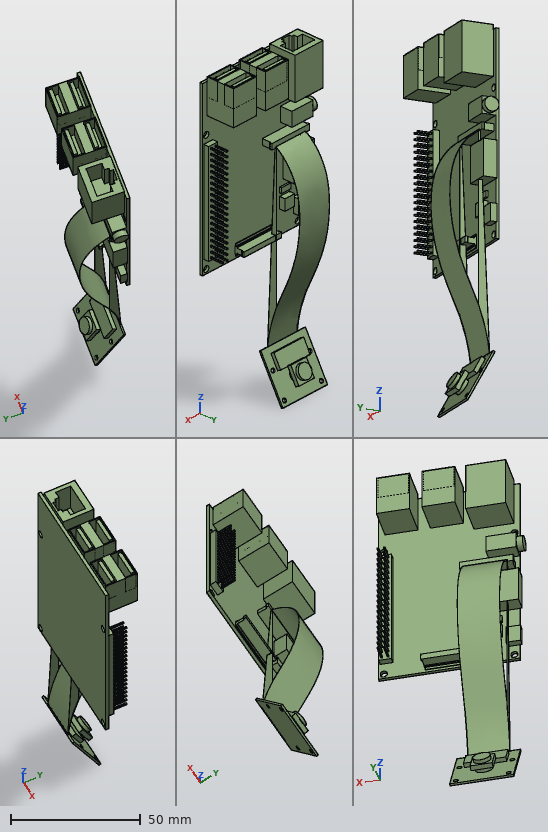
import cadquery as cq
import math


board_width = 56.0
board_length = 85.0
board_thickness = 1.4
hole_dia = 2.8
hole_inset = 2.2
hole_rise = 59.3

port_overhang = 2.0
port_top = board_length + port_overhang

ethernet_x = 2.3
ethernet_width = 15.9
ethernet_length = 21.0
ethernet_height = 13.4
socket_depth = 13.9
socket_width = 12.3
socket_top = 12.0
socket_floor = 5.5
latch_width = 6.6
latch_floor = 3.7
key_width = 4.3
key_floor = 2.3

usb_left_edges = (22.3, 40.3)
usb_width = 13.1
usb_length = 17.2
usb_height = 13.9
usb_port_depth = 9.2
usb_port_height = 4.6
usb_port_floors = (1.8, 10.2)
usb_side_wall = 0.5
usb_tongue_width = 10.8
usb_tongue_height = 1.5
usb_tongue_floors = (4.3, 13.0)

side_overhang = 1.0
hdmi_z = 24.2
hdmi_length = 15.2
hdmi_depth = 11.5
hdmi_height = 5.9
micro_usb_z = 6.5
micro_usb_length = 7.4
micro_usb_depth = 5.7
micro_usb_height = 2.8

jack_z = 53.3
jack_body_size = 7.1
jack_body_depth = 12.0
jack_body_height = 6.0
jack_dia = 6.0
jack_axis_y = 4.3
jack_overhang = 2.5

header_length = 50.8
pin_count = 20
pin_pitch = header_length / pin_count
pin_size = 0.6
pin_tip_y = 10.2
header_x = 52.8
header_z = 32.5
header_height = 2.6

ribbon_socket_width = 21.2
socket_lid_rim = 0.38
socket_lid_height = 1.2
camera_socket_z = 45.3
camera_socket_length = 3.0
camera_socket_height = 5.4
display_socket_x = 27.4
display_socket_z = 3.8
display_socket_length = 2.5
display_socket_height = 5.1
display_flange_rim = 0.54
display_flange_height = 1.0
display_pad_width = 20.0
display_pad_length = 5.5
display_pad_height = 0.3

chip_x = 7.0
chip_width = 5.5
large_chip_z = 11.5
large_chip_length = 5.5
large_chip_height = 2.8
small_chip_z = 18.6
small_chip_length = 2.6
small_chip_height = 1.0

ribbon_x = 12.0
ribbon_width = 16.8
ribbon_thickness = 0.2
web_front_y = 7.1
ribbon_path = [
    (6.5, 44.7),
    (12.8, 39.1),
    (16.6, 32.8),
    (19.4, 17.0),
    (17.2, -0.5),
    (12.8, -13.7),
    (7.4, -25.7),
    (3.7, -37.7),
    (2.5, -45.9),
]

camera_tilt = 29
overall_length = 154.0
camera_bottom_z = port_top - overall_length
camera_top_y = 2.0
camera_width = 25.3
camera_length = 24.0
camera_thickness = 1.0
camera_hole_dia = 1.8
camera_hole_span = 21.0
camera_hole_us = (9.1, 21.5)
plug_width = ribbon_width
plug_start = 2.8
plug_length = 7.2
plug_top = 2.8
lens_u = 14.2
lens_dia = 7.0
lens_body_size = 8.8
lens_base_top = 2.8
lens_body_top = 4.8
lens_top = 6.3


def box(x, y, z, width, height, length):
    """Block from its low corner: width along X, height along Y, length along Z."""
    return cq.Workplane("XY").box(width, height, length, centered=False).translate((x, y, z))


def mounted(x, z, width, length, height):
    """Block standing on the component face of the main board."""
    return box(x, board_thickness, z, width, height, length)


def mounted_centred(x, z, width, length, height):
    return mounted(x - width / 2, z - length / 2, width, length, height)


def main_board():
    board = box(0, 0, 0, board_width, board_thickness, board_length)
    for x in (hole_inset, board_width - hole_inset):
        for z in (hole_inset, hole_inset + hole_rise):
            drill = cq.Workplane("XZ", origin=(x, 0, z)).circle(hole_dia / 2).extrude(-board_thickness)
            board = board.cut(drill)
    return board


def ethernet_port():
    middle = ethernet_x + ethernet_width / 2
    floor_z = port_top - socket_depth
    body = mounted(ethernet_x, port_top - ethernet_length, ethernet_width, ethernet_length, ethernet_height)
    steps = ((socket_width, socket_floor), (latch_width, latch_floor), (key_width, key_floor))
    for width, floor_y in steps:
        body = body.cut(box(middle - width / 2, floor_y, floor_z, width, socket_top - floor_y, socket_depth))
    return body


def usb_stack(left):
    middle = left + usb_width / 2
    opening_width = usb_width - 2 * usb_side_wall
    floor_z = port_top - usb_port_depth
    stack = mounted(left, port_top - usb_length, usb_width, usb_length, usb_height)
    for y in usb_port_floors:
        opening = box(left + usb_side_wall, y, floor_z, opening_width, usb_port_height, usb_port_depth)
        stack = stack.cut(opening)
    for y in usb_tongue_floors:
        tongue_left = middle - usb_tongue_width / 2
        tongue = box(tongue_left, y, floor_z, usb_tongue_width, usb_tongue_height, usb_port_depth)
        stack = stack.union(tongue)
    return stack


def audio_jack():
    body = mounted(0, jack_z - jack_body_size / 2, jack_body_depth, jack_body_size, jack_body_height)
    barrel = cq.Workplane("YZ", origin=(-jack_overhang, jack_axis_y, jack_z)).circle(jack_dia / 2)
    return body.union(barrel.extrude(jack_overhang))


def pin_header():
    header = mounted_centred(header_x, header_z, 2 * pin_pitch, header_length, header_height)
    first_z = header_z - (pin_count - 1) / 2 * pin_pitch
    for side in (-1, 1):
        for index in range(pin_count):
            x = header_x + side * pin_pitch / 2
            z = first_z + index * pin_pitch
            height = pin_tip_y - board_thickness
            header = header.union(mounted_centred(x, z, pin_size, pin_size, height))
    return header


def ribbon_socket(x, z, length, height):
    """Narrow body with a slightly wider lid on top."""
    body = mounted_centred(x, z, ribbon_socket_width - 2 * socket_lid_rim, length, height)
    lid = mounted_centred(x, z, ribbon_socket_width, length, socket_lid_height)
    return body.union(lid.translate((0, height - socket_lid_height, 0)))


def display_socket():
    socket = ribbon_socket(display_socket_x, display_socket_z, display_socket_length, display_socket_height)
    flange_length = display_socket_length + 2 * display_flange_rim
    flange_width = ribbon_socket_width - 2 * socket_lid_rim
    flange = mounted_centred(
        display_socket_x, display_socket_z, flange_width, flange_length, display_flange_height)
    pad = mounted_centred(
        display_socket_x, display_socket_z, display_pad_width, display_pad_length, display_pad_height)
    return socket.union(flange).union(pad)


def ribbon():
    left = ribbon_x - ribbon_width / 2
    inner_path = [(y - ribbon_thickness, z) for y, z in ribbon_path]
    start_z = ribbon_path[0][1]
    end_z = ribbon_path[-1][1]

    def prism(outline):
        return outline.close().extrude(ribbon_width)

    side_plane = cq.Workplane("YZ", origin=(left, 0, 0))
    strip = prism(side_plane.spline(ribbon_path).lineTo(*inner_path[-1]).lineTo(*inner_path[0]))
    hollow = prism(side_plane.spline(inner_path).lineTo(0, end_z).lineTo(0, start_z))
    for x in (left, left + ribbon_width - ribbon_thickness):
        hollow = hollow.cut(box(x, 0, end_z, ribbon_thickness, web_front_y, start_z - end_z))
    return strip.cut(hollow)


def camera_module():
    def on_camera(u, v, width, height, length):
        return box(-width / 2, v, -u - length, width, height, length)

    def disc(u, v, diameter, height, x=0):
        return cq.Workplane("XZ", origin=(x, v, -u)).circle(diameter / 2).extrude(-height)

    module = on_camera(0, 0, camera_width, camera_thickness, camera_length)
    for x in (-camera_hole_span / 2, camera_hole_span / 2):
        for u in camera_hole_us:
            module = module.cut(disc(u, 0, camera_hole_dia, camera_thickness, x))
    plug = on_camera(plug_start, camera_thickness, plug_width, plug_top - camera_thickness, plug_length)
    lens_base = disc(lens_u, camera_thickness, lens_dia, lens_base_top - camera_thickness)
    lens_body = on_camera(
        lens_u - lens_body_size / 2, lens_base_top,
        lens_body_size, lens_body_top - lens_base_top, lens_body_size)
    lens = disc(lens_u, lens_body_top, lens_dia, lens_top - lens_body_top)
    module = module.union(plug).union(lens_base).union(lens_body).union(lens)

    top_z = camera_bottom_z + camera_length * math.cos(math.radians(camera_tilt))
    tilted = module.rotate((0, 0, 0), (1, 0, 0), camera_tilt)
    return tilted.translate((ribbon_x, camera_top_y, top_z))


parts = [
    ethernet_port(),
    audio_jack(),
    mounted(-side_overhang, hdmi_z, hdmi_depth, hdmi_length, hdmi_height),
    mounted(-side_overhang, micro_usb_z, micro_usb_depth, micro_usb_length, micro_usb_height),
    mounted(chip_x, large_chip_z, chip_width, large_chip_length, large_chip_height),
    mounted(chip_x, small_chip_z, chip_width, small_chip_length, small_chip_height),
    pin_header(),
    ribbon_socket(ribbon_x, camera_socket_z, camera_socket_length, camera_socket_height),
    display_socket(),
    ribbon(),
    camera_module(),
]
parts += [usb_stack(left) for left in usb_left_edges]

base = main_board()
fused = base.val().fuse(*[part.val() for part in parts])
result = base.newObject([fused]).solids()